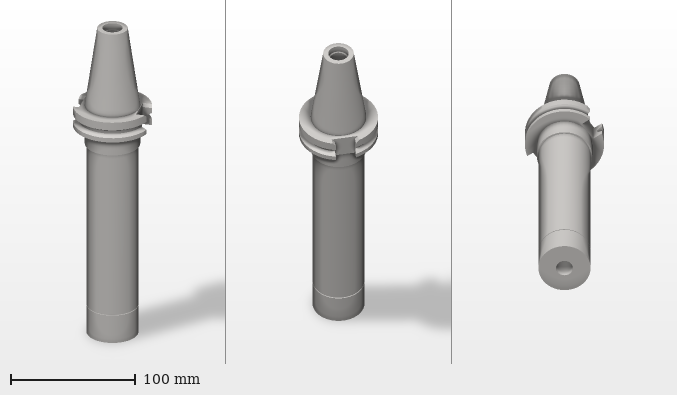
import cadquery as cq
import math


total_height = 271.5
taper_length = 68.5
land_height = 0.8
flange_thickness = 17.6
collar_bottom = 168.3
taper_bottom = total_height - taper_length
flange_top = taper_bottom - land_height
flange_bottom = flange_top - flange_thickness

taper_ratio = 7 / 24
taper_large_radius = 22.3
taper_small_radius = taper_large_radius - taper_length * taper_ratio / 2
flange_radius = 31.8
collar_radius = 22.3
shank_radius = 21.0

v_groove_center = 192.0
v_groove_mouth = 7.0
v_groove_radius = 28.0
v_flank_angle = 30.0
v_flank_height = (flange_radius - v_groove_radius) * math.tan(math.radians(v_flank_angle))
v_mouth_top = v_groove_center + v_groove_mouth / 2
v_mouth_bottom = v_groove_center - v_groove_mouth / 2

end_groove_bottom = 24.5
end_groove_top = 25.2
end_groove_radius = 15.7

bore_radius = 6.8
counterbore_radius = 8.1
counterbore_depth = 5.5

slot_width = 16.5
slot_chamfer = 2.5
deep_slot_floor = 25.0
shallow_slot_floor = 22.5

plug_radius = 5.0
plug_length = 4.5


def make_turned_body():
    """Revolve the outer outline of the holder around Z."""
    outline = [
        (0, 0),
        (shank_radius, 0),
        (shank_radius, end_groove_bottom),
        (end_groove_radius, end_groove_bottom),
        (end_groove_radius, end_groove_top),
        (shank_radius, end_groove_top),
        (shank_radius, collar_bottom),
        (collar_radius, collar_bottom),
        (collar_radius, flange_bottom),
        (flange_radius, flange_bottom),
        (flange_radius, v_mouth_bottom),
        (v_groove_radius, v_mouth_bottom + v_flank_height),
        (v_groove_radius, v_mouth_top - v_flank_height),
        (flange_radius, v_mouth_top),
        (flange_radius, flange_top),
        (taper_large_radius, flange_top),
        (taper_large_radius, taper_bottom),
        (taper_small_radius, total_height),
        (0, total_height),
    ]
    return cq.Workplane("XZ").polyline(outline).close().revolve(360, (0, 0), (0, 1))


def make_bore():
    """Through bore with a counterbore at the small end of the taper."""
    bore = cq.Workplane("XY").circle(bore_radius).extrude(total_height)
    counterbore = (
        cq.Workplane("XY", origin=(0, 0, total_height - counterbore_depth))
        .circle(counterbore_radius)
        .extrude(counterbore_depth)
    )
    return bore.union(counterbore)


def make_slot(floor_distance, side):
    """Flange slot, chamfered at its top edges; side is +1 for +X or -1 for -X."""
    half_width = slot_width / 2
    section = [
        (-half_width, flange_bottom),
        (half_width, flange_bottom),
        (half_width, flange_top - slot_chamfer),
        (half_width + slot_chamfer, flange_top),
        (-half_width - slot_chamfer, flange_top),
        (-half_width, flange_top - slot_chamfer),
    ]
    slot_depth = flange_radius - floor_distance
    return (
        cq.Workplane("YZ", origin=(side * floor_distance, 0, 0))
        .polyline(section)
        .close()
        .extrude(side * slot_depth)
    )


def make_chip_plug():
    """Cylindrical plug flush with the floor of the -X slot."""
    return (
        cq.Workplane("YZ", origin=(-deep_slot_floor, 0, v_groove_center))
        .circle(plug_radius)
        .extrude(plug_length)
    )


def make_holder(chip_plug):
    """Holder with its bore, drive slots and a recess that fits the chip plug."""
    return (
        make_turned_body()
        .cut(make_bore())
        .cut(make_slot(deep_slot_floor, -1))
        .cut(make_slot(shallow_slot_floor, 1))
        .cut(chip_plug)
    )


chip_plug = make_chip_plug()
holder = make_holder(chip_plug)

result = cq.Compound.makeCompound([holder.val(), chip_plug.val()])